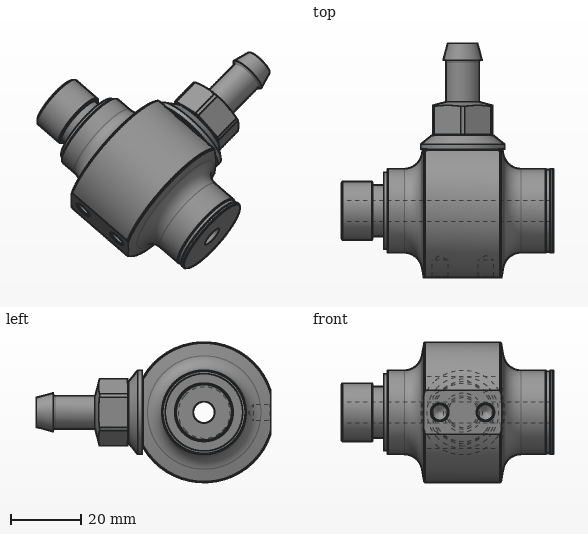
import cadquery as cq
import math

overall_length = 60.5
bore_diameter = 6.0

spigot_radius = 16.66 / 2
spigot_end = 8.7
spigot_end_chamfer = 0.45
spigot_back_chamfer = 0.3
neck_radius = 14.7 / 2
collar_radius = 22.0 / 2
collar_start = 12.05
collar_end = 13.05

hub_radius = 24.0 / 2
hub_start_chamfer = 0.3
drum_radius = 20.0
drum_center = 34.55
drum_width = 22.0
drum_edge_run = 0.4
drum_edge_depth = 0.3
hub_blend_radius = 5.0
drum_face_taper = math.radians(10)

groove_radius = 23.5 / 2
groove_start = 58.1
groove_end = 59.6
groove_depth = hub_radius - groove_radius
end_chamfer = 0.25

front_flat_distance = 19.0
hole_spacing = 13.0
hole_diameter = 4.5
hole_mouth_diameter = 5.2
hole_depth = 5.0
hole_tip_angle = math.radians(118)

fitting_seat = 17.2
flange_bottom = 17.5
flange_top = 18.87
flange_radius = 24.0 / 2
seat_radius = 20.4 / 2
cone_top_radius = 17.6 / 2
relief_bottom = 21.45
relief_radius = 16.6 / 2
hex_bottom = 21.7
hex_top = 31.0
hex_across_flats = 17.1
hex_corner_radius = 19.15 / 2
hex_top_slope = math.radians(15)
tube_radius = 9.5 / 2
barb_rim = 42.85
barb_fillet = 0.4
barb_rim_radius = 11.1 / 2
barb_tip = 47.7
barb_tip_radius = 8.5 / 2


def blend_point(side, angle, tangent_distance):
    """Point on a hub-to-drum blend, at an angle from where it leaves the hub."""
    x = drum_center + side * (tangent_distance - hub_blend_radius * math.sin(angle))
    return x, hub_radius + hub_blend_radius * (1 - math.cos(angle))


def make_body():
    """Revolved spigot, collar, hubs and drum."""
    face_edge_radius = drum_radius - drum_edge_depth
    half_width = drum_width / 2
    blend_angle = math.pi / 2 - drum_face_taper
    blend_height = hub_blend_radius * (1 - math.cos(blend_angle))
    taper_run = (face_edge_radius - hub_radius - blend_height) * math.tan(drum_face_taper)
    tangent_distance = half_width + taper_run + hub_blend_radius * math.sin(blend_angle)

    def blend(side, fraction):
        return blend_point(side, fraction * blend_angle, tangent_distance)

    profile = (
        cq.Workplane("XY")
        .moveTo(0, 0)
        .lineTo(0, spigot_radius - spigot_end_chamfer)
        .lineTo(spigot_end_chamfer, spigot_radius)
        .lineTo(spigot_end, spigot_radius)
        .lineTo(spigot_end + spigot_back_chamfer, spigot_radius - spigot_back_chamfer)
        .lineTo(spigot_end + spigot_back_chamfer, neck_radius)
        .lineTo(collar_start, neck_radius)
        .lineTo(collar_start, collar_radius)
        .lineTo(collar_end, collar_radius)
        .lineTo(collar_end, hub_radius - hub_start_chamfer)
        .lineTo(collar_end + hub_start_chamfer, hub_radius)
        .lineTo(*blend(-1, 0))
        .threePointArc(blend(-1, 0.5), blend(-1, 1))
        .lineTo(drum_center - half_width, face_edge_radius)
        .lineTo(drum_center - half_width + drum_edge_run, drum_radius)
        .lineTo(drum_center + half_width - drum_edge_run, drum_radius)
        .lineTo(drum_center + half_width, face_edge_radius)
        .lineTo(*blend(1, 1))
        .threePointArc(blend(1, 0.5), blend(1, 0))
        .lineTo(groove_start, hub_radius)
        .lineTo(groove_start + groove_depth, groove_radius)
        .lineTo(groove_end - groove_depth, groove_radius)
        .lineTo(groove_end, hub_radius)
        .lineTo(overall_length - end_chamfer, hub_radius)
        .lineTo(overall_length, hub_radius - end_chamfer)
        .lineTo(overall_length, 0)
        .close()
    )
    return profile.revolve(360, (0, 0, 0), (1, 0, 0))


def trim_flats(body):
    """Cut the drum to its -Y flat and to the +Y seat of the fitting."""
    slab = cq.Workplane("XY").box(
        overall_length,
        front_flat_distance + fitting_seat,
        2 * drum_radius,
        centered=(False, False, True),
    )
    return body.intersect(slab.translate((0, -front_flat_distance, 0)))


def turned_about_fitting_axis(points):
    """Solid of revolution about the fitting axis from (radius, y) points."""
    turned = cq.Workplane("XY").polyline(points).close().revolve(360, (0, 0, 0), (0, 1, 0))
    return turned.translate((drum_center, 0, 0))


def make_flange():
    """Seat, flange, cone and relief groove below the hexagon; its foot is sunk into the drum."""
    return turned_about_fitting_axis([
        (0, hub_radius),
        (tube_radius, hub_radius),
        (tube_radius, fitting_seat),
        (seat_radius, fitting_seat),
        (seat_radius, flange_bottom),
        (flange_radius, flange_bottom),
        (flange_radius, flange_top),
        (cone_top_radius, relief_bottom),
        (relief_radius, relief_bottom),
        (relief_radius, hex_bottom),
        (0, hex_bottom),
    ])


def make_hexagon():
    """Hexagon with corners turned round and a conical top, corners pointing along Z."""
    hexagon = (
        cq.Workplane("XZ", origin=(drum_center, hex_bottom, 0))
        .transformed(rotate=(0, 0, 90))
        .polygon(6, hex_across_flats / math.cos(math.pi / 6))
        .extrude(hex_bottom - hex_top)
    )
    cone_drop = (hex_corner_radius - tube_radius) * math.tan(hex_top_slope)
    envelope = turned_about_fitting_axis([
        (0, hex_bottom),
        (hex_corner_radius, hex_bottom),
        (hex_corner_radius, hex_top - cone_drop),
        (tube_radius, hex_top),
        (0, hex_top),
    ])
    return hexagon.intersect(envelope)


def make_barb():
    """Hose tube with a barbed tip, filleted under the barb's rim."""
    profile = (
        cq.Workplane("XY")
        .moveTo(0, hex_bottom)
        .lineTo(tube_radius, hex_bottom)
        .lineTo(tube_radius, barb_rim - barb_fillet)
        .radiusArc((tube_radius + barb_fillet, barb_rim), barb_fillet)
        .lineTo(barb_rim_radius, barb_rim)
        .lineTo(barb_tip_radius, barb_tip)
        .lineTo(0, barb_tip)
        .close()
    )
    return profile.revolve(360, (0, 0, 0), (0, 1, 0)).translate((drum_center, 0, 0))


def make_front_hole(x):
    """Chamfered blind hole with a drill-point bottom, entering from the -Y flat."""
    radius = hole_diameter / 2
    mouth_radius = hole_mouth_diameter / 2
    floor = hole_depth - front_flat_distance
    hole = (
        cq.Workplane("XY")
        .moveTo(0, -front_flat_distance)
        .lineTo(mouth_radius, -front_flat_distance)
        .lineTo(radius, mouth_radius - radius - front_flat_distance)
        .lineTo(radius, floor)
        .lineTo(0, floor + radius / math.tan(hole_tip_angle / 2))
        .close()
        .revolve(360, (0, 0, 0), (0, 1, 0))
    )
    return hole.translate((x, 0, 0))


result = trim_flats(make_body())
for fitting_part in (make_flange(), make_hexagon(), make_barb()):
    result = result.union(fitting_part)

for side in (-1, 1):
    result = result.cut(make_front_hole(drum_center + side * hole_spacing / 2))

bore = cq.Workplane("YZ").circle(bore_diameter / 2).extrude(overall_length)
result = result.cut(bore)